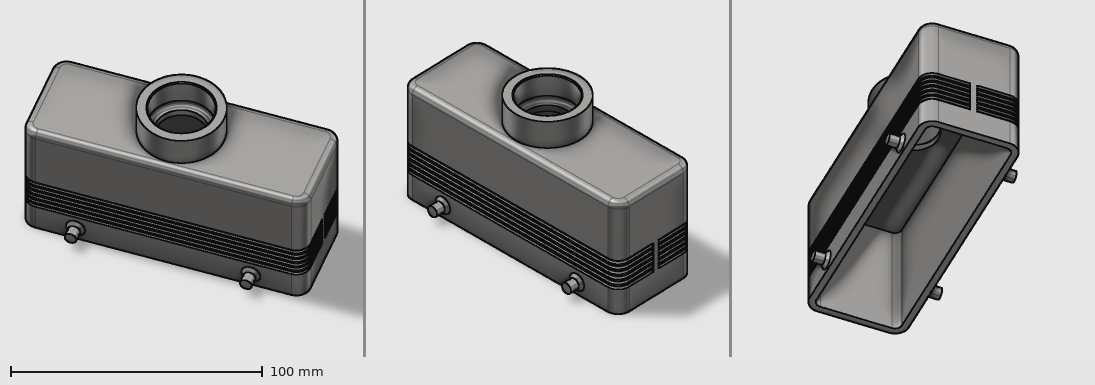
import cadquery as cq
import math

LENGTH = 120.0
WIDTH = 43.0
HEIGHT = 55.0
CORNER_RADIUS = 6.0
TOP_FILLET = 3.0
WALL = 3.0

COLLAR_DIAMETER = 36.0
COLLAR_HEIGHT = 13.0
COLLAR_TOP = HEIGHT + COLLAR_HEIGHT
MOUTH_RADIUS = 14.0
MOUTH_CHAMFER = 0.5
BORE_RADIUS = MOUTH_RADIUS - MOUTH_CHAMFER
UNDERCUT_RADIUS = 1.5
UNDERCUT_REACH = 14.0
SEAT_RADIUS = UNDERCUT_REACH - UNDERCUT_RADIUS
ENTRY_RADIUS = 10.75

GROOVE_COUNT = 6
GROOVE_PITCH = 2.5
GROOVE_RADIUS = 0.75
LOWEST_GROOVE_Z = 13.0
GROOVE_GAP = 3.0

PEG_SPACING = 74.0
PEG_Z = 6.0
PEG_DIAMETER = 5.0
PEG_LENGTH = 6.0
PEG_BASE_DIAMETER = 8.0
PEG_CONE_LENGTH = (PEG_BASE_DIAMETER - PEG_DIAMETER) / 2


def rounded_block(length, width, height, corner_radius):
    """Block standing on Z = 0 with rounded vertical edges."""
    block = cq.Workplane("XY").box(length, width, height, centered=(True, True, False))
    return block.edges("|Z").fillet(corner_radius)


def make_shell():
    """Hood with a rounded roof edge and a cavity open at the bottom."""
    outside = rounded_block(LENGTH, WIDTH, HEIGHT, CORNER_RADIUS)
    outside = outside.faces(">Z").edges().fillet(TOP_FILLET)
    cavity = rounded_block(
        LENGTH - 2 * WALL,
        WIDTH - 2 * WALL,
        HEIGHT - WALL,
        CORNER_RADIUS - WALL,
    )
    return outside.cut(cavity)


def make_groove(z):
    """Round-bottomed groove along the body outline, left out at the middle of both ends."""
    body_above = rounded_block(LENGTH, WIDTH, HEIGHT, CORNER_RADIUS).translate((0, 0, z))
    path = body_above.faces("<Z").wires()
    ring = cq.Workplane("YZ").center(-WIDTH / 2, z).circle(GROOVE_RADIUS).sweep(path)
    gap_height = 4 * GROOVE_RADIUS
    gap = cq.Workplane("XY").box(LENGTH + 4 * GROOVE_RADIUS, GROOVE_GAP, gap_height)
    return ring.cut(gap.translate((0, 0, z)))


def make_collar():
    """Cylindrical collar standing on the middle of the roof."""
    collar = cq.Workplane("XY").circle(COLLAR_DIAMETER / 2).extrude(COLLAR_HEIGHT)
    return collar.translate((0, 0, HEIGHT))


def make_entry_bore():
    """Revolved hole: chamfered mouth, straight bore, round undercut, flat seat and through hole."""
    cutter_bottom = HEIGHT - 2 * WALL
    undercut_center_z = HEIGHT + UNDERCUT_RADIUS
    undercut_rise = math.sqrt(UNDERCUT_RADIUS**2 - (BORE_RADIUS - SEAT_RADIUS) ** 2)
    profile = (
        cq.Workplane("XZ")
        .moveTo(0, cutter_bottom)
        .lineTo(ENTRY_RADIUS, cutter_bottom)
        .lineTo(ENTRY_RADIUS, HEIGHT)
        .lineTo(SEAT_RADIUS, HEIGHT)
        .threePointArc(
            (UNDERCUT_REACH, undercut_center_z),
            (BORE_RADIUS, undercut_center_z + undercut_rise),
        )
        .lineTo(BORE_RADIUS, COLLAR_TOP - MOUTH_CHAMFER)
        .lineTo(MOUTH_RADIUS, COLLAR_TOP)
        .lineTo(0, COLLAR_TOP)
        .close()
    )
    return profile.revolve(360, (0, 0), (0, 1))


def make_peg(x, side):
    """Peg with a conical root, pointing to +Y (side = 1) or -Y (side = -1)."""
    outline = (
        cq.Workplane("XY")
        .moveTo(0, 0)
        .lineTo(PEG_BASE_DIAMETER / 2, 0)
        .lineTo(PEG_DIAMETER / 2, PEG_CONE_LENGTH)
        .lineTo(PEG_DIAMETER / 2, PEG_LENGTH)
        .lineTo(0, PEG_LENGTH)
        .close()
    )
    peg = outline.revolve(360, (0, 0), (0, 1))
    if side < 0:
        peg = peg.mirror("XZ")
    return peg.translate((x, side * WIDTH / 2, PEG_Z))


result = make_shell().union(make_collar()).cut(make_entry_bore())

for index in range(GROOVE_COUNT):
    result = result.cut(make_groove(LOWEST_GROOVE_Z + index * GROOVE_PITCH))

for peg_x in (-PEG_SPACING / 2, PEG_SPACING / 2):
    for peg_side in (-1, 1):
        result = result.union(make_peg(peg_x, peg_side))